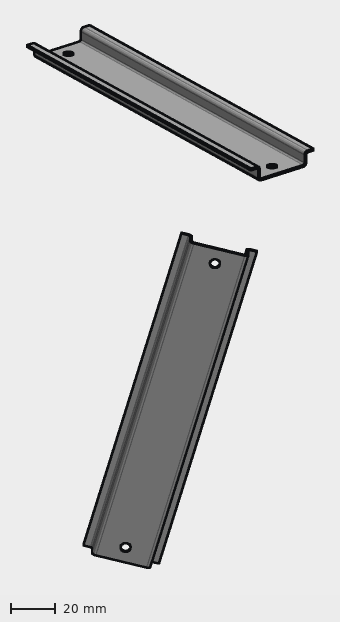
import cadquery as cq

length = 165.0
overall_width = 35.0
height = 7.5
thickness = 1.0
channel_width = 27.0
inner_bend_radius = 0.8
hole_diameter = 4.5
hole_spacing = 150.2

outer_bend_radius = inner_bend_radius + thickness
half_width = overall_width / 2
wall_outside = channel_width / 2
wall_inside = wall_outside - thickness


def hat_profile():
    """Sharp-cornered cross-section in YZ, with the underside of the base at Z = 0."""
    right_half = [
        (wall_outside, 0),
        (wall_outside, height - thickness),
        (half_width, height - thickness),
        (half_width, height),
        (wall_inside, height),
        (wall_inside, thickness),
    ]
    left_half = [(-y, z) for y, z in reversed(right_half)]
    return cq.Workplane("YZ").polyline(right_half + left_half).close()


def edges_along_rail(body, y, z):
    """Select the lengthwise edges at (+y, z) and (-y, z)."""
    points = [(0, -y, z), (0, y, z)]
    selectors = [cq.selectors.NearestToPointSelector(point) for point in points]
    return body.edges("|X").edges(selectors[0] + selectors[1])


rail = hat_profile().extrude(length / 2, both=True)

bends = [
    (wall_outside, 0, outer_bend_radius),
    (wall_inside, thickness, inner_bend_radius),
    (wall_inside, height, outer_bend_radius),
    (wall_outside, height - thickness, inner_bend_radius),
]
for bend_y, bend_z, radius in bends:
    rail = edges_along_rail(rail, bend_y, bend_z).fillet(radius)

holes = (
    cq.Workplane("XY")
    .pushPoints([(-hole_spacing / 2, 0), (hole_spacing / 2, 0)])
    .circle(hole_diameter / 2)
    .extrude(thickness)
)
result = rail.cut(holes)